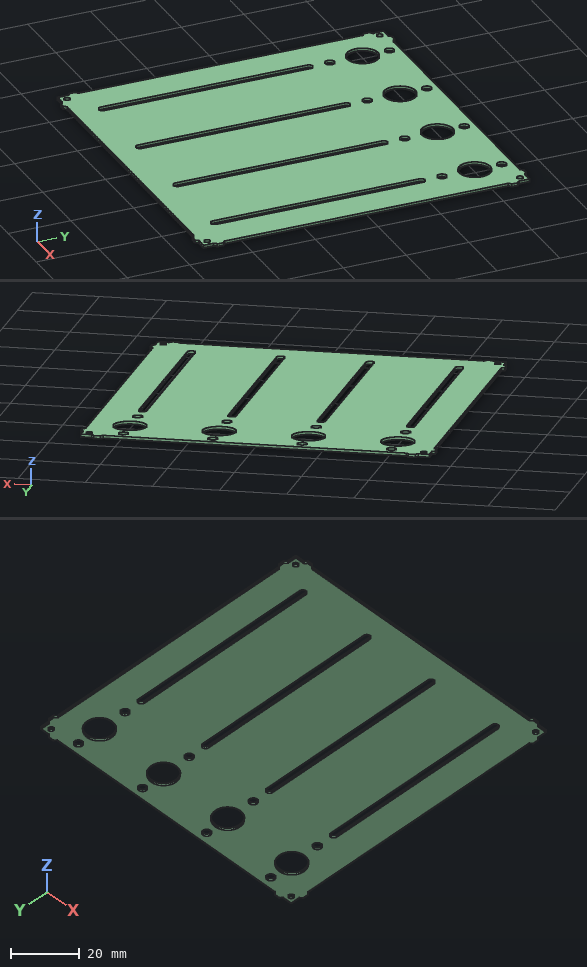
import cadquery as cq

overall_size = 105.6
thickness = 0.91
tab_height = 0.8
plate_size = overall_size - 2 * tab_height
plate_half = plate_size / 2

tab_offset = 46.9
tab_tip_width = 2.0
tab_flank_run = 0.7
tab_flank_sag = 0.1

corner_hole_diameter = 1.8
corner_hole_offset = 49.8

column_count = 4
column_pitch = 26.6
window_diameter = 9.8
window_y = 39.9
screw_hole_diameter = 2.9
screw_hole_spacing = 19.0
screw_pair_y = 39.0
slot_width = 2.3
slot_top_y = 24.0
slot_bottom_y = -44.1


def make_tab(corner_side):
    """Flat-topped tab on the +Y edge, with slightly concave sloping flanks."""
    centre_x = corner_side * tab_offset
    tip_half = tab_tip_width / 2
    root_half = tip_half + tab_flank_run
    tip_y = overall_size / 2
    return (
        cq.Workplane("XY")
        .moveTo(centre_x - root_half, plate_half)
        .sagittaArc((centre_x - tip_half, tip_y), -tab_flank_sag)
        .lineTo(centre_x + tip_half, tip_y)
        .sagittaArc((centre_x + root_half, plate_half), -tab_flank_sag)
        .close()
        .extrude(thickness)
    )


def make_plate():
    plate = cq.Workplane("XY").rect(plate_size, plate_size).extrude(thickness)
    for edge_angle in (0, 90, 180, 270):
        for corner_side in (-1, 1):
            tab = make_tab(corner_side)
            plate = plate.union(tab.rotate((0, 0, 0), (0, 0, 1), edge_angle))
    return plate


def drill(body, points, diameter):
    cutter = cq.Workplane("XY").pushPoints(points).circle(diameter / 2).extrude(thickness)
    return body.cut(cutter)


def cut_slots(body, xs):
    slot_length = slot_top_y - slot_bottom_y
    slot_centre_y = (slot_top_y + slot_bottom_y) / 2
    cutter = (
        cq.Workplane("XY")
        .pushPoints([(x, slot_centre_y) for x in xs])
        .slot2D(slot_length, slot_width, 90)
        .extrude(thickness)
    )
    return body.cut(cutter)


column_xs = [(i - (column_count - 1) / 2) * column_pitch for i in range(column_count)]
corner_points = [(sx * corner_hole_offset, sy * corner_hole_offset) for sx in (-1, 1) for sy in (-1, 1)]
window_points = [(x, window_y) for x in column_xs]
screw_points = [(x, screw_pair_y + side * screw_hole_spacing / 2) for x in column_xs for side in (-1, 1)]

result = make_plate()
result = drill(result, corner_points, corner_hole_diameter)
result = drill(result, window_points, window_diameter)
result = drill(result, screw_points, screw_hole_diameter)
result = cut_slots(result, column_xs)